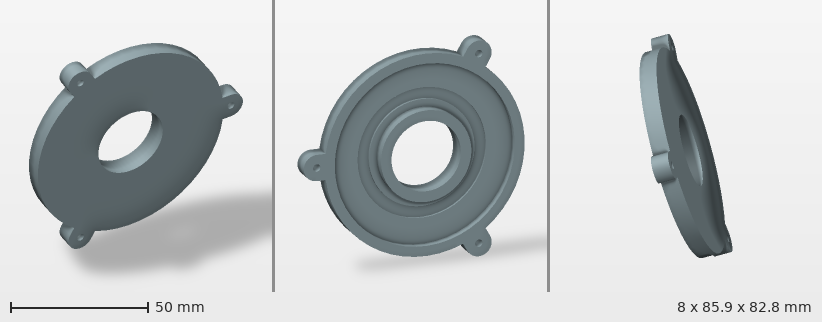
import cadquery as cq
import math

plate_diameter = 77.7
plate_thickness = 6.5
bore_diameter = 27.0

collar_diameter = 35.1
collar_rise = 1.5

recess_diameter = 70.0
recess_depth = 3.0
groove_outer_diameter = 50.0
groove_inner_diameter = 41.0
groove_depth = 1.0

ear_count = 3
overall_width = 85.9
ear_reach = overall_width - plate_diameter / 2
ear_width = 10.05
ear_radius = ear_width / 2
ear_hole_diameter = 2.8
first_ear_angle = 0
ear_circle_radius = ear_reach - ear_radius


def cylinder(diameter, x_start, length, y=0, z=0):
    """Solid cylinder along +X, starting at x_start."""
    return (
        cq.Workplane("YZ", origin=(x_start, y, z))
        .circle(diameter / 2)
        .extrude(length)
    )


def ring(outer_diameter, inner_diameter, x_start, length):
    """Ring along +X, starting at x_start."""
    outer = cylinder(outer_diameter, x_start, length)
    return outer.cut(cylinder(inner_diameter, x_start, length))


def ear_centre(angle):
    """Y and Z of an ear hole, with the angle measured from +Y towards +Z."""
    y = ear_circle_radius * math.cos(math.radians(angle))
    z = ear_circle_radius * math.sin(math.radians(angle))
    return y, z


def ear(angle):
    """Straight-sided arm from the plate axis with a round end."""
    arm = (
        cq.Workplane("YZ")
        .center(ear_circle_radius / 2, 0)
        .rect(ear_circle_radius, ear_width)
        .extrude(plate_thickness)
        .rotate((0, 0, 0), (1, 0, 0), angle)
    )
    return arm.union(cylinder(ear_width, 0, plate_thickness, *ear_centre(angle)))


ear_angles = [first_ear_angle + i * 360 / ear_count for i in range(ear_count)]

result = cylinder(plate_diameter, 0, plate_thickness)
for angle in ear_angles:
    result = result.union(ear(angle))

result = result.cut(ring(recess_diameter, collar_diameter, 0, recess_depth))
result = result.cut(
    ring(groove_outer_diameter, groove_inner_diameter, recess_depth, groove_depth)
)

result = result.union(cylinder(collar_diameter, -collar_rise, collar_rise))

result = result.cut(cylinder(bore_diameter, -collar_rise, collar_rise + plate_thickness))
for angle in ear_angles:
    result = result.cut(
        cylinder(ear_hole_diameter, 0, plate_thickness, *ear_centre(angle))
    )